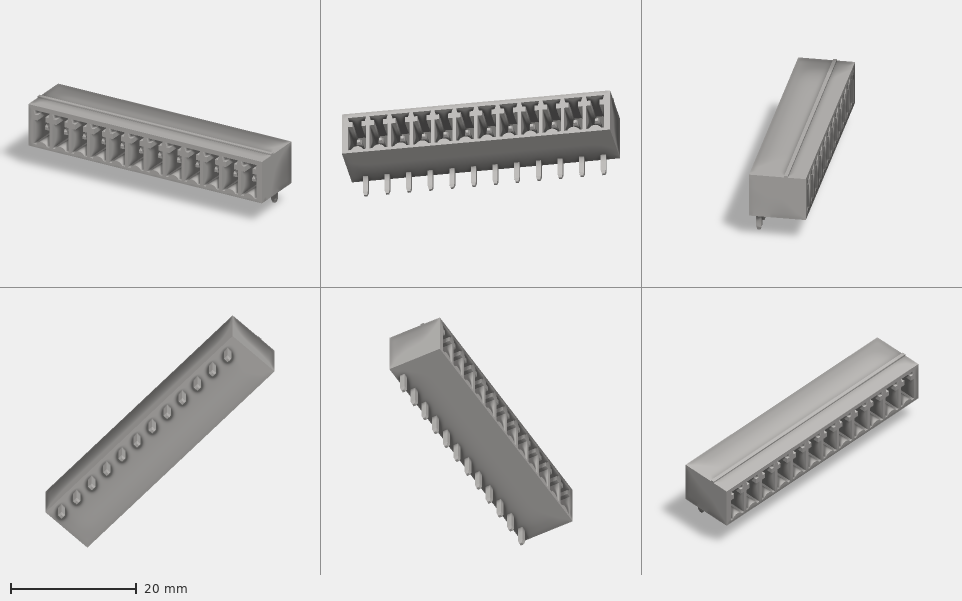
import cadquery as cq

housing_length = 43.4
housing_depth = 9.2
housing_height = 7.25

rib_front = 2.9
rib_width = 0.6
rib_height = 0.25

contact_count = 12
row_span = 38.5
pitch = row_span / (contact_count - 1)
contact_xs = [i * pitch - row_span / 2 for i in range(contact_count)]

socket_depth = 6.5
socket_half_width = 1.48
socket_floor = 0.5
socket_shoulder = 4.77
neck_half_width = 0.75
dovetail_bottom = 5.7
dovetail_top = 6.45
dovetail_half_bottom = 1.25

ridge_half_width = 1.0
ridge_top = 1.15

pin_width = 0.82
tip_width = 0.48
tip_length = 0.55
pin_drop = 3.45
pin_height = 2.95
pin_recess = 1.48
tail_from_back = 1.2
tail_y = housing_depth - tail_from_back


def make_housing():
    """Plain block with a low rib along its whole top face."""
    body = (
        cq.Workplane("XY")
        .box(housing_length, housing_depth, housing_height, centered=(True, False, False))
    )
    rib = (
        cq.Workplane("XY", origin=(0, rib_front, housing_height))
        .box(housing_length, rib_width, rib_height, centered=(True, False, False))
    )
    return body.union(rib)


def make_socket(x):
    """Space removed for one contact, with the floor ridge left standing."""
    return (
        cq.Workplane("XZ", origin=(x, 0, 0))
        .moveTo(-socket_half_width, socket_floor)
        .lineTo(-ridge_half_width, socket_floor)
        .threePointArc((0, ridge_top), (ridge_half_width, socket_floor))
        .lineTo(socket_half_width, socket_floor)
        .lineTo(socket_half_width, socket_shoulder)
        .lineTo(neck_half_width, socket_shoulder)
        .lineTo(neck_half_width, dovetail_bottom)
        .lineTo(dovetail_half_bottom, dovetail_bottom)
        .lineTo(socket_half_width, dovetail_top)
        .lineTo(-socket_half_width, dovetail_top)
        .lineTo(-dovetail_half_bottom, dovetail_bottom)
        .lineTo(-neck_half_width, dovetail_bottom)
        .lineTo(-neck_half_width, socket_shoulder)
        .lineTo(-socket_half_width, socket_shoulder)
        .close()
        .extrude(-socket_depth)
    )


def make_bar(end_plane, length):
    """Square bar with a tapered tip; the tip lies on end_plane and the bar follows its normal."""
    tip = (
        cq.Workplane(end_plane)
        .rect(tip_width, tip_width)
        .workplane(offset=tip_length)
        .rect(pin_width, pin_width)
        .loft(ruled=True)
    )
    shank = (
        cq.Workplane(end_plane)
        .workplane(offset=tip_length)
        .rect(pin_width, pin_width)
        .extrude(length - tip_length)
    )
    return tip.union(shank)


def make_pin(x):
    """Right-angle pin: a contact along y inside the socket and a solder tail along z."""
    contact_end = cq.Plane(origin=(x, pin_recess, pin_height), xDir=(1, 0, 0), normal=(0, 1, 0))
    tail_end = cq.Plane(origin=(x, tail_y, -pin_drop), xDir=(1, 0, 0), normal=(0, 0, 1))
    contact = make_bar(contact_end, tail_y - pin_recess)
    tail = make_bar(tail_end, pin_drop + pin_height)
    return contact.union(tail)


result = make_housing()
for contact_x in contact_xs:
    result = result.cut(make_socket(contact_x))
for contact_x in contact_xs:
    result = result.union(make_pin(contact_x))